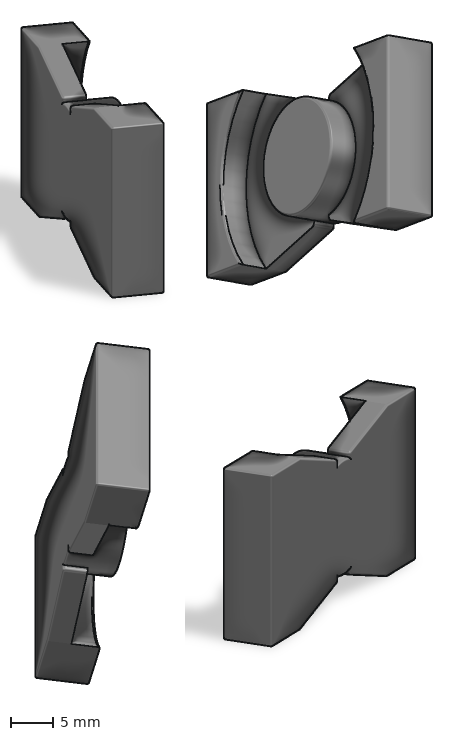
import cadquery as cq
import math

length = 38.0
depth = 6.5
height = 21.3

plate_thickness = 2.95
end_length = 7.45
waist_half_width = 1.55
waist_half_height = 7.6
waist_corner_radius = 0.5

boss_diameter = 14.3
block_length = 7.4
edge_radius = 0.3

recess_radius = math.hypot(length / 2 - block_length, height / 2)

front_y = -depth / 2


def extrude_from_front(sketch, thickness):
    """Extrude an XZ sketch backward (+Y) from the front face."""
    return sketch.extrude(-thickness)


def front_plane():
    return cq.Workplane("XZ", origin=(0, front_y, 0))


def wing(side):
    """One tapering half of the plate; side is -1 for left, +1 for right."""
    outer_x = side * length / 2
    kink_x = side * (length / 2 - end_length)
    waist_x = side * waist_half_width
    outline = [
        (outer_x, -height / 2),
        (outer_x, height / 2),
        (kink_x, height / 2),
        (waist_x, waist_half_height),
        (waist_x, -waist_half_height),
        (kink_x, -height / 2),
    ]
    plate = extrude_from_front(front_plane().polyline(outline).close(), plate_thickness)
    waist_face = "<X" if side > 0 else ">X"
    return plate.faces(waist_face).edges("|Y").fillet(waist_corner_radius)


def end_block(side):
    """Full-depth block at one end of the plate, with an arc-shaped inner face."""
    outer_x = side * length / 2
    inner_x = side * (length / 2 - block_length)
    outline = (
        front_plane()
        .moveTo(inner_x, height / 2)
        .threePointArc((side * recess_radius, 0), (inner_x, -height / 2))
        .lineTo(outer_x, -height / 2)
        .lineTo(outer_x, height / 2)
        .close()
    )
    return extrude_from_front(outline, depth)


def rounded_half(side):
    """A wing joined to its end block, with the front, back and outer rims rounded."""
    half = wing(side).union(end_block(side))
    outer_face = ">X" if side > 0 else "<X"
    return half.faces(f"<Y or >Y or {outer_face}").edges().fillet(edge_radius)


boss = extrude_from_front(front_plane().circle(boss_diameter / 2), depth)
boss = boss.faces("<Y or >Y").edges().fillet(edge_radius)
result = boss.union(rounded_half(-1)).union(rounded_half(1))